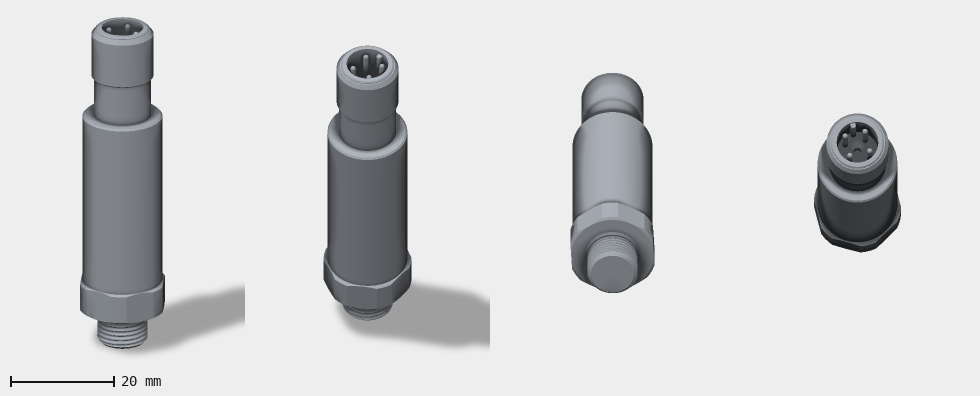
import cadquery as cq
import math

total_height = 66.1
hex_bottom = 7.0
hex_top = 13.0
barrel_top = 47.8
collar_bottom = 55.7
collar_top = 65.7

thread_radius = 4.9
thread_root_radius = 4.35
thread_turns = 7
thread_length = 6.35
thread_pitch = thread_length / thread_turns
thread_mouth_width = 0.7
thread_root_width = 0.1
thread_end_gap = 0.25
stud_chamfer = 0.7
flare_radius = 5.3

hex_across_flats = 16.0
hex_across_corners = 17.0
hex_corner_radius = hex_across_corners / 2
hex_turn = 1.3
hex_bevel_angle = 30.0

barrel_radius = 7.75
barrel_chamfer = 0.3
neck_radius = 5.55
collar_bottom_bevel = 0.3
collar_radius = 6.0
collar_top_radius = 5.35
collar_top_bevel = 0.85

insert_radius = 5.15
insert_length = 9.9
insert_rim_chamfer = 0.25
socket_radius = 4.0
socket_depth = 8.6
centre_hole_radius = 0.7
centre_hole_depth = 1.3
centre_hole_chamfer = 0.2
key_radius = 0.5
key_centre_offset = 3.6
key_recess = 0.65
key_chamfer = 0.1

pin_radius = 0.5
pin_spacing = 3.95
pin_recess = 0.5


def cylinder(radius, bottom, top):
    """Cylinder on the Z axis between two heights."""
    return cq.Workplane("XY").workplane(offset=bottom).circle(radius).extrude(top - bottom)


def turned(outline):
    """Solid of revolution about Z from (radius, height) points."""
    return cq.Workplane("XZ").polyline(outline).close().revolve(360, (0, 0), (0, 1))


def make_hex():
    """Hexagon with rounded corners and both ends bevelled, one flat facing almost along X."""
    bevel_height = (hex_corner_radius - hex_across_flats / 2) * math.tan(math.radians(hex_bevel_angle))
    prism = (
        cq.Workplane("XY")
        .workplane(offset=hex_bottom)
        .polygon(6, hex_across_flats, circumscribed=True)
        .extrude(hex_top - hex_bottom)
        .rotate((0, 0, 0), (0, 0, 1), hex_turn)
    )
    bevelled_round = turned([
        (0, hex_bottom),
        (hex_across_flats / 2, hex_bottom),
        (hex_corner_radius, hex_bottom + bevel_height),
        (hex_corner_radius, hex_top - bevel_height),
        (hex_across_flats / 2, hex_top),
        (0, hex_top),
    ])
    return prism.intersect(bevelled_round)


def make_stud():
    """Stud with a right-hand helical V groove, bevelled at its tip and flared under the hexagon."""
    stud = cylinder(thread_radius, 0, hex_bottom).faces("<Z").chamfer(stud_chamfer)

    groove_start = -thread_pitch
    groove_height = hex_bottom - thread_end_gap - groove_start
    outer_radius = 2 * thread_radius - thread_root_radius
    outer_width = 2 * thread_mouth_width - thread_root_width
    path = cq.Wire.makeHelix(thread_pitch, groove_height, thread_radius)
    groove = (
        cq.Workplane("XZ")
        .polyline([
            (thread_root_radius, -thread_root_width / 2),
            (outer_radius, -outer_width / 2),
            (outer_radius, outer_width / 2),
            (thread_root_radius, thread_root_width / 2),
        ])
        .close()
        .sweep(cq.Workplane(path), isFrenet=True)
        .translate((0, 0, groove_start))
    )
    flare_bottom = hex_bottom - (flare_radius - thread_radius)
    flare = turned([
        (0, flare_bottom),
        (thread_radius, flare_bottom),
        (flare_radius, hex_bottom),
        (0, hex_bottom),
    ])
    return stud.cut(groove).union(flare)


def make_housing():
    """Stud, hexagon, barrel, neck and collar in one piece, bored for the connector insert."""
    barrel = cylinder(barrel_radius, hex_top, barrel_top).faces(">Z").chamfer(barrel_chamfer)
    upper = turned([
        (0, barrel_top),
        (neck_radius, barrel_top),
        (neck_radius, collar_bottom),
        (collar_radius, collar_bottom + collar_bottom_bevel),
        (collar_radius, collar_top - collar_top_bevel),
        (collar_top_radius, collar_top),
        (0, collar_top),
    ])
    bore = cylinder(insert_radius, total_height - insert_length, total_height)
    return make_hex().union(make_stud()).union(barrel).union(upper).cut(bore)


def make_key(floor):
    """Round-nosed coding rib along the socket wall on the -Y side, bevelled at its top."""
    wall_y = -(socket_radius + insert_radius) / 2
    return (
        cq.Workplane("XY")
        .workplane(offset=floor)
        .moveTo(-key_radius, wall_y)
        .lineTo(-key_radius, -key_centre_offset)
        .threePointArc((0, key_radius - key_centre_offset), (key_radius, -key_centre_offset))
        .lineTo(key_radius, wall_y)
        .close()
        .extrude(total_height - key_recess - floor)
        .faces(">Z")
        .chamfer(key_chamfer)
    )


def make_centre_hole(floor):
    """Blind hole with a bevelled mouth in the middle of the socket floor."""
    return turned([
        (0, floor - centre_hole_depth),
        (centre_hole_radius, floor - centre_hole_depth),
        (centre_hole_radius, floor - centre_hole_chamfer),
        (centre_hole_radius + centre_hole_chamfer, floor),
        (0, floor),
    ])


def make_pin(floor):
    """Contact pin on the Z axis with a hemispherical tip."""
    tip_centre = total_height - pin_recess - pin_radius
    tip = cq.Workplane("XY").sphere(pin_radius).translate((0, 0, tip_centre))
    return cylinder(pin_radius, floor, tip_centre).union(tip)


def make_insert():
    """Cup-shaped contact carrier with a coding rib, a centre hole and four round-ended pins."""
    floor = total_height - socket_depth
    insert = (
        cylinder(insert_radius, total_height - insert_length, total_height)
        .faces(">Z")
        .chamfer(insert_rim_chamfer)
        .cut(cylinder(socket_radius, floor, total_height))
    )
    insert = insert.cut(make_centre_hole(floor)).union(make_key(floor))
    pin = make_pin(floor)
    for x in (-pin_spacing / 2, pin_spacing / 2):
        for y in (-pin_spacing / 2, pin_spacing / 2):
            insert = insert.union(pin.translate((x, y, 0)))
    return insert


housing = make_housing()
insert = make_insert()

result = cq.Compound.makeCompound([housing.solids().val(), insert.solids().val()])